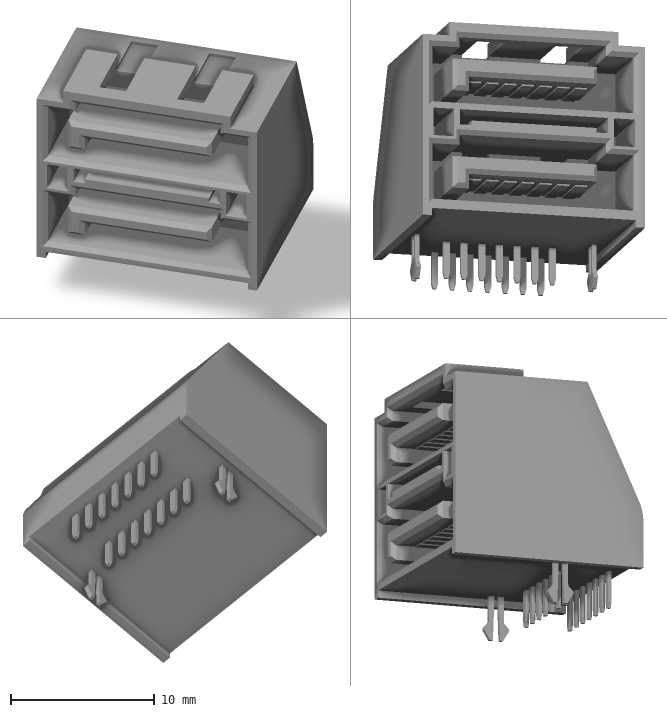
import cadquery as cq
import math

body_width = 16.0
body_depth = 14.0
body_height = 12.96
foot_width = 0.66
underside_z = 0.51
roof_end_y = 9.85
slope_foot_z = 4.04
slope_round_radius = 2.98
slope_angle = math.atan2(body_depth - roof_end_y, body_height - slope_foot_z)

block_width = 12.16
block_depth = 5.78
block_top_z = 13.92

ramp_width = 14.37
ramp_top_y = 11.65
ramp_ridge_y = 12.78
ramp_ridge_z = 7.33
ramp_bottom_y = 13.14
ramp_root = 0.33

socket_pitch = 6.98
socket_depth = 5.43
mouth_width = 15.13
mouth_bottom_z = 0.95
mouth_shoulder_z = 5.55
mouth_neck_z = 6.27
mouth_neck_width = 11.17
mouth_bevel = 0.31
levels = (0, socket_pitch)

tongue_left_x = -5.8
tongue_right_x = 4.63
tongue_leg_width = 1.19
tongue_top_z = 4.42
tongue_bar_bottom_z = 3.2
tongue_leg_bottom_z = 2.15
tongue_tip_y = 0.03

contact_count = 7
contact_pitch = 1.27
contact_width = 0.86
contact_thickness = 0.12
contact_start_y = 1.65
pin_width = 0.46
pin_thickness = 0.26
pin_tip_width = 0.25
pin_taper_z = -1.69
pin_tip_z = -2.1
pin_rows_y = (9.71, 12.98)
contact_xs = [contact_pitch * (i - (contact_count - 1) / 2) for i in range(contact_count)]

latch_x = 2.83
latch_width = 1.94
latch_front_y = 1.2
latch_rear_y = 9.19
roof_slot_floor_z = 12.75
lower_latch_bottom_z = mouth_shoulder_z
lower_latch_top_z = mouth_neck_z - mouth_bevel
relief_width = 2.02
relief_heights = (0.65, 0.45)

pocket_top_z = 7.71
pocket_depth = socket_depth
side_pocket_x = 6.5
side_pocket_width = 1.5
side_pocket_bottom_z = 5.75
middle_pocket_width = 10.67
middle_pocket_bottom_z = 6.62
middle_step_width = 8.99
middle_step_z = 6.95

peg_x = 6.37
peg_y = 8.4
peg_thickness = 0.31
peg_length = 2.63
prong_inner_top = 0.15
prong_inner_tip = 0.26
prong_outer_tip = 0.5
prong_outer_top = 0.55
barb_neck_round = ((prong_outer_top, -1.2), (0.58, -1.37), (0.7, -1.52))
barb_tip_round = ((0.88, -1.7), (0.95, -1.85), (0.86, -2.04))


def centred_box(x, width, y0, y1, z0, z1):
    """Box of a given width centred on x, between two depths and two heights."""
    block = cq.Workplane("XY").box(width, y1 - y0, z1 - z0, centered=(True, False, False))
    return block.translate((x, y0, z0))


def extrude_along_x(points, x, width):
    """Extrude a (y, z) outline to a given width centred on x."""
    return cq.Workplane("YZ", origin=(x - width / 2, 0, 0)).polyline(points).close().extrude(width)


def extrude_along_y(points, y0, y1):
    """Extrude an (x, z) outline from y0 back to y1."""
    return cq.Workplane("XZ", origin=(0, y0, 0)).polyline(points).close().extrude(y0 - y1)


def slope_z(y):
    """Height of the rear slope at depth y."""
    return body_height - (y - roof_end_y) / math.tan(slope_angle)


def make_housing():
    tangent = slope_round_radius * math.tan(slope_angle / 2)
    arc_centre_y = body_depth - slope_round_radius
    arc_centre_z = slope_foot_z - tangent

    def on_arc(angle):
        return (
            arc_centre_y + slope_round_radius * math.cos(angle),
            arc_centre_z + slope_round_radius * math.sin(angle),
        )

    housing = (
        cq.Workplane("YZ", origin=(-body_width / 2, 0, 0))
        .moveTo(0, 0)
        .lineTo(body_depth, 0)
        .lineTo(*on_arc(0))
        .threePointArc(on_arc(slope_angle / 2), on_arc(slope_angle))
        .lineTo(roof_end_y, body_height)
        .lineTo(0, body_height)
        .close()
        .extrude(body_width)
    )
    block = centred_box(0, block_width, 0, block_depth, underside_z, block_top_z)
    channel = centred_box(0, body_width - 2 * foot_width, 0, body_depth, 0, underside_z)
    return housing.union(block).cut(channel)


def make_ramp():
    """Two-faced wedge on the rear slope, rooted inside the housing."""
    outline = [
        (ramp_top_y, slope_z(ramp_top_y)),
        (ramp_ridge_y, ramp_ridge_z),
        (ramp_bottom_y, slope_z(ramp_bottom_y)),
        (ramp_bottom_y - ramp_root, slope_z(ramp_bottom_y)),
        (ramp_top_y - ramp_root, slope_z(ramp_top_y)),
    ]
    return extrude_along_x(outline, 0, ramp_width)


def mouth_outline(level, inset):
    """Socket outline: a wide rectangle with a narrower neck on top."""
    half = mouth_width / 2 - inset
    neck = mouth_neck_width / 2 - inset
    bottom = level + mouth_bottom_z + inset
    shoulder = level + mouth_shoulder_z - inset
    top = level + mouth_neck_z - inset
    return [
        (-half, bottom), (half, bottom), (half, shoulder), (neck, shoulder),
        (neck, top), (-neck, top), (-neck, shoulder), (-half, shoulder),
    ]


def tongue_outline(level, inset):
    left = tongue_left_x + inset
    right = tongue_right_x - inset
    leg = tongue_left_x + tongue_leg_width - inset
    top = level + tongue_top_z - inset
    bar_bottom = level + tongue_bar_bottom_z + inset
    leg_bottom = level + tongue_leg_bottom_z + inset
    return [
        (left, top), (right, top), (right, bar_bottom),
        (leg, bar_bottom), (leg, leg_bottom), (left, leg_bottom),
    ]


def loft_along_y(front, rear, y0, y1):
    """Ruled solid between two matching (x, z) outlines."""
    return (
        cq.Workplane("XZ", origin=(0, y0, 0))
        .polyline(front).close()
        .workplane(offset=y0 - y1)
        .polyline(rear).close()
        .loft(ruled=True)
    )


def make_socket(level):
    inner = mouth_outline(level, mouth_bevel)
    cavity = extrude_along_y(inner, 0, socket_depth)
    return cavity.union(loft_along_y(mouth_outline(level, 0), inner, 0, mouth_bevel))


def make_tongue(level):
    full = tongue_outline(level, 0)
    shoulder_y = tongue_tip_y + mouth_bevel
    tip = loft_along_y(tongue_outline(level, mouth_bevel), full, tongue_tip_y, shoulder_y)
    tongue = extrude_along_y(full, shoulder_y, socket_depth).union(tip)
    bar_bottom = level + tongue_bar_bottom_z
    for x in contact_xs:
        contact = centred_box(
            x, contact_width, contact_start_y, socket_depth, bar_bottom - contact_thickness, bar_bottom
        )
        tongue = tongue.union(contact)
    return tongue


def make_recesses():
    """Latch slots and the relief above each tongue."""
    recesses = cq.Workplane("XY")
    for x in (-latch_x, latch_x):
        roof_slot = centred_box(
            x, latch_width, latch_front_y, latch_rear_y, roof_slot_floor_z, block_top_z
        )
        lower_recess = centred_box(
            x, latch_width, socket_depth, latch_rear_y, lower_latch_bottom_z, lower_latch_top_z
        )
        recesses = recesses.add(roof_slot).add(lower_recess)
    for level, height in zip(levels, relief_heights):
        floor = level + tongue_top_z
        recesses = recesses.add(
            centred_box(0, relief_width, socket_depth, latch_rear_y, floor, floor + height)
        )
    return recesses.combine()


def make_web_pockets():
    pockets = centred_box(
        0, middle_pocket_width, 0, pocket_depth, middle_pocket_bottom_z, pocket_top_z
    ).cut(centred_box(0, middle_step_width, 0, pocket_depth, middle_pocket_bottom_z, middle_step_z))
    for x in (-side_pocket_x, side_pocket_x):
        pocket = centred_box(
            x, side_pocket_width, 0, pocket_depth, side_pocket_bottom_z, pocket_top_z
        )
        pockets = pockets.add(pocket)
    return pockets.combine()


def make_pin(x, y):
    """Flat solder pin with a tapered tip."""
    half = pin_width / 2
    tip = pin_tip_width / 2
    outline = [
        (x - half, underside_z), (x + half, underside_z), (x + half, pin_taper_z),
        (x + tip, pin_tip_z), (x - tip, pin_tip_z), (x - half, pin_taper_z),
    ]
    return extrude_along_y(outline, y - pin_thickness / 2, y + pin_thickness / 2)


def make_prong(x, side):
    """One prong with a rounded outward barb; side is -1 or 1 across the split."""

    def at(offset, z):
        return (peg_y + side * offset, z)

    neck_start, neck_middle, neck_end = [at(*point) for point in barb_neck_round]
    tip_start, tip_middle, tip_end = [at(*point) for point in barb_tip_round]
    return (
        cq.Workplane("YZ", origin=(x - peg_thickness / 2, 0, 0))
        .moveTo(*at(prong_inner_top, underside_z))
        .lineTo(*at(prong_outer_top, underside_z))
        .lineTo(*neck_start)
        .threePointArc(neck_middle, neck_end)
        .lineTo(*tip_start)
        .threePointArc(tip_middle, tip_end)
        .lineTo(*at(prong_outer_tip, -peg_length))
        .lineTo(*at(prong_inner_tip, -peg_length))
        .close()
        .extrude(peg_thickness)
    )


result = make_housing().union(make_ramp())
for level in levels:
    result = result.cut(make_socket(level)).union(make_tongue(level))
result = result.cut(make_recesses()).cut(make_web_pockets())
for row_y in pin_rows_y:
    for pin_x in contact_xs:
        result = result.union(make_pin(pin_x, row_y))
for side_x in (-peg_x, peg_x):
    for prong_side in (-1, 1):
        result = result.union(make_prong(side_x, prong_side))